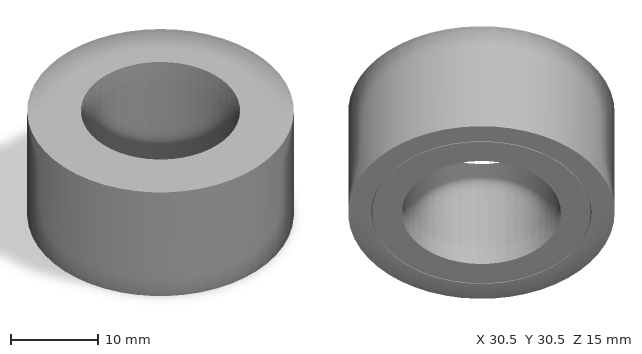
import cadquery as cq

outer_diameter = 30.5
total_height = 15.0
bore_diameter = 18.2

flange_thickness = 1.0
sleeve_diameter = 25.0
ring_bore_diameter = 25.2
ring_height = total_height - flange_thickness


def make_ring():
    """Outer ring, standing on Z = 0, with a clearance bore for the sleeve."""
    return (
        cq.Workplane("XY")
        .circle(outer_diameter / 2)
        .circle(ring_bore_diameter / 2)
        .extrude(ring_height)
    )


def make_flanged_bushing():
    """Full-height sleeve whose top flange rests on the ring."""
    sleeve = cq.Workplane("XY").circle(sleeve_diameter / 2).extrude(total_height)
    flange = (
        cq.Workplane("XY")
        .workplane(offset=ring_height)
        .circle(outer_diameter / 2)
        .extrude(flange_thickness)
    )
    bore = cq.Workplane("XY").circle(bore_diameter / 2).extrude(total_height)
    return sleeve.union(flange).cut(bore)


ring = make_ring()
flanged_bushing = make_flanged_bushing()

result = cq.Compound.makeCompound([ring.val(), flanged_bushing.solids().val()])